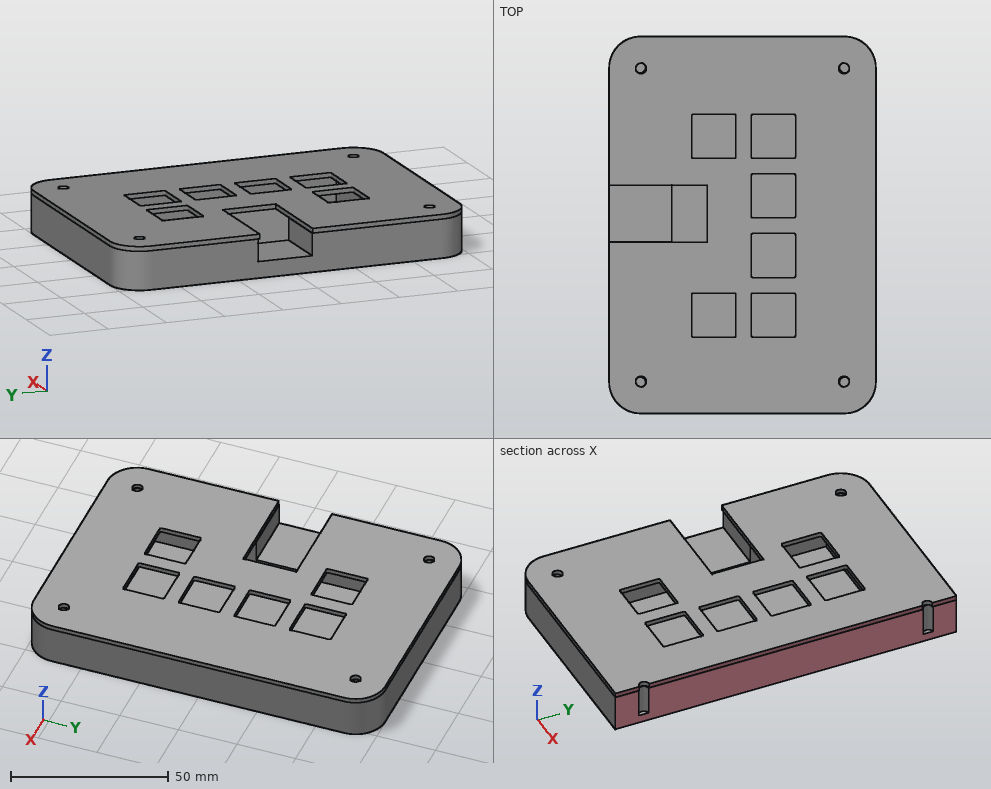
import cadquery as cq

WIDTH = 85.0
LENGTH = 120.0
HEIGHT = 14.5
CORNER_RADIUS = 10.1
PLATE_THICKNESS = 1.6
CASE_HEIGHT = HEIGHT - PLATE_THICKNESS
LEFT_FACE = -WIDTH / 2

SCREW_DIAMETER = 3.4
PLATE_SCREW_INSET = 10.2
CASE_SCREW_INSET = 10.0

SIDE_WALL = 20.0
END_WALL = 20.0
FLOOR_THICKNESS = 3.0

CASE_SLOT_WIDTH = 18.6
CASE_SLOT_CENTRE_Y = 4.0
CASE_SLOT_FLOOR = 5.5

NOTCH_LENGTH = 31.3
NOTCH_WIDTH = 18.1
NOTCH_CENTRE_Y = 3.6

KEY_SIZE = 14.0
KEY_CORNER_RADIUS = 0.5
KEY_PITCH = 19.0
KEY_ROWS = 4
RIGHT_COLUMN_X = 9.8
KEY_CENTRE_Y = -0.2
LEFT_COLUMN_X = RIGHT_COLUMN_X - KEY_PITCH


def rounded_slab(thickness, base):
    """Slab with the rounded outline shared by both bodies."""
    slab = cq.Workplane("XY", origin=(0, 0, base)).rect(WIDTH, LENGTH).extrude(thickness)
    return slab.edges("|Z").fillet(CORNER_RADIUS)


def screw_holes(inset, base, depth):
    """Four cylinders, each set in from the two nearest outer sides."""
    return (
        cq.Workplane("XY", origin=(0, 0, base))
        .rect(WIDTH - 2 * inset, LENGTH - 2 * inset, forConstruction=True)
        .vertices()
        .circle(SCREW_DIAMETER / 2)
        .extrude(depth)
    )


def side_opening(length, width, centre_y, base, height):
    """Block that opens a recess inward from the left face."""
    block = cq.Workplane("XY").box(length, width, height, centered=(False, True, False))
    return block.translate((LEFT_FACE, centre_y, base))


def key_centres():
    """Centres of the key openings."""
    centres = []
    for row in range(KEY_ROWS):
        y = KEY_CENTRE_Y + (row - (KEY_ROWS - 1) / 2) * KEY_PITCH
        centres.append((RIGHT_COLUMN_X, y))
        if row in (0, KEY_ROWS - 1):
            centres.append((LEFT_COLUMN_X, y))
    return centres


def make_case():
    """Box with an open-topped cavity, a slot through its left wall and screw holes."""
    cavity_depth = CASE_HEIGHT - FLOOR_THICKNESS
    cavity = (
        cq.Workplane("XY", origin=(0, 0, FLOOR_THICKNESS))
        .rect(WIDTH - 2 * SIDE_WALL, LENGTH - 2 * END_WALL)
        .extrude(cavity_depth)
    )
    slot = side_opening(
        SIDE_WALL, CASE_SLOT_WIDTH, CASE_SLOT_CENTRE_Y, CASE_SLOT_FLOOR, CASE_HEIGHT - CASE_SLOT_FLOOR
    )
    holes = screw_holes(CASE_SCREW_INSET, FLOOR_THICKNESS, cavity_depth)
    return rounded_slab(CASE_HEIGHT, 0).cut(cavity).cut(slot).cut(holes)


def make_plate():
    """Cover plate with key openings, a notch in its left edge and screw holes."""
    keys = (
        cq.Workplane("XY", origin=(0, 0, CASE_HEIGHT))
        .pushPoints(key_centres())
        .rect(KEY_SIZE, KEY_SIZE)
        .extrude(PLATE_THICKNESS)
        .edges("|Z")
        .fillet(KEY_CORNER_RADIUS)
    )
    notch = side_opening(NOTCH_LENGTH, NOTCH_WIDTH, NOTCH_CENTRE_Y, CASE_HEIGHT, PLATE_THICKNESS)
    holes = screw_holes(PLATE_SCREW_INSET, CASE_HEIGHT, PLATE_THICKNESS)
    return rounded_slab(PLATE_THICKNESS, CASE_HEIGHT).cut(keys).cut(notch).cut(holes)


case = make_case()
plate = make_plate()

result = cq.Compound.makeCompound([case.val(), plate.val()])